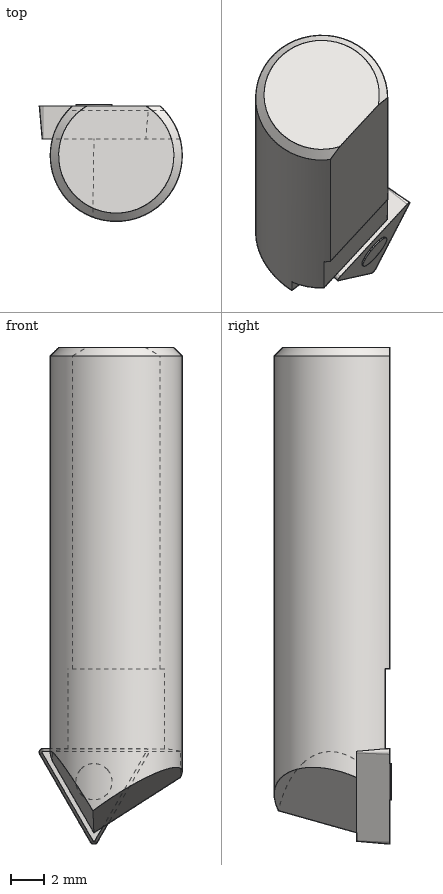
import cadquery as cq
import math

SHANK_DIAMETER = 7.98
TOOL_LENGTH = 30.0
TOP_CHAMFER = 0.5
FLAT_Y = 3.0
LOWER_FLAT_Y = 2.73
LOWER_FLAT_TOP = 10.6

INSERT_X = -1.35
INSERT_INRADIUS = 2.0
INSERT_THICKNESS = 2.0
CORNER_RADIUS = 0.25
RELIEF_ANGLE = 5.0
BOSS_DIAMETER = 2.2
BOSS_HEIGHT = 0.1

RIDGE_Z = 0.7
LEFT_SLOPE = math.tan(math.radians(60))
RIGHT_SLOPE = 0.64
LEFT_BACK_RISE = 0.26
RIGHT_BACK_RISE = 0.29

SEAT_Y = FLAT_Y - INSERT_THICKNESS
INSERT_Z = 2 * INSERT_INRADIUS - CORNER_RADIUS
INSERT_TOP = INSERT_Z + INSERT_INRADIUS
CUTTER_SIZE = 2 * TOOL_LENGTH


def cut_below(body, x_slope, y_slope):
    """Remove everything under a sloped plane through the ridge point at the seat."""
    plane = cq.Plane(
        origin=(INSERT_X, SEAT_Y, RIDGE_Z),
        xDir=(1, 0, x_slope),
        normal=(-x_slope, -y_slope, 1),
    )
    cutter = cq.Workplane(plane).rect(CUTTER_SIZE, CUTTER_SIZE).extrude(-CUTTER_SIZE)
    return body.cut(cutter)


def make_seat_cutter():
    """Space in front of the seat; its ceiling leans with the relief of the insert."""
    ceiling_drop = INSERT_THICKNESS * math.tan(math.radians(RELIEF_ANGLE))
    outline = [
        (SEAT_Y, -TOOL_LENGTH),
        (SEAT_Y, INSERT_TOP - ceiling_drop),
        (FLAT_Y, INSERT_TOP),
        (FLAT_Y, -TOOL_LENGTH),
    ]
    return cq.Workplane("YZ").polyline(outline).close().extrude(SHANK_DIAMETER, both=True)


def make_shank():
    shank = cq.Workplane("XY").circle(SHANK_DIAMETER / 2).extrude(TOOL_LENGTH)
    shank = shank.faces(">Z").chamfer(TOP_CHAMFER)

    for flat_y, flat_top in ((FLAT_Y, TOOL_LENGTH), (LOWER_FLAT_Y, LOWER_FLAT_TOP)):
        cutter = cq.Workplane("XY").box(
            SHANK_DIAMETER, SHANK_DIAMETER, flat_top, centered=(True, False, False)
        )
        shank = shank.cut(cutter.translate((0, flat_y, 0)))

    shank = shank.cut(make_seat_cutter())
    shank = cut_below(shank, -LEFT_SLOPE, -LEFT_BACK_RISE)
    return cut_below(shank, RIGHT_SLOPE, -RIGHT_BACK_RISE)


def make_insert():
    face = cq.Workplane("XZ", origin=(INSERT_X, FLAT_Y, INSERT_Z))
    half_side = INSERT_INRADIUS * math.sqrt(3)
    corners = [
        (-half_side, INSERT_INRADIUS),
        (half_side, INSERT_INRADIUS),
        (0, -2 * INSERT_INRADIUS),
    ]
    triangle = cq.Sketch().polygon(corners + corners[:1]).vertices().fillet(CORNER_RADIUS)
    insert = face.placeSketch(triangle).extrude(INSERT_THICKNESS, taper=RELIEF_ANGLE)
    boss = face.circle(BOSS_DIAMETER / 2).extrude(-BOSS_HEIGHT)
    return insert.union(boss)


shank = make_shank()
insert = make_insert()
result = cq.Compound.makeCompound([shank.solids().val(), insert.solids().val()])